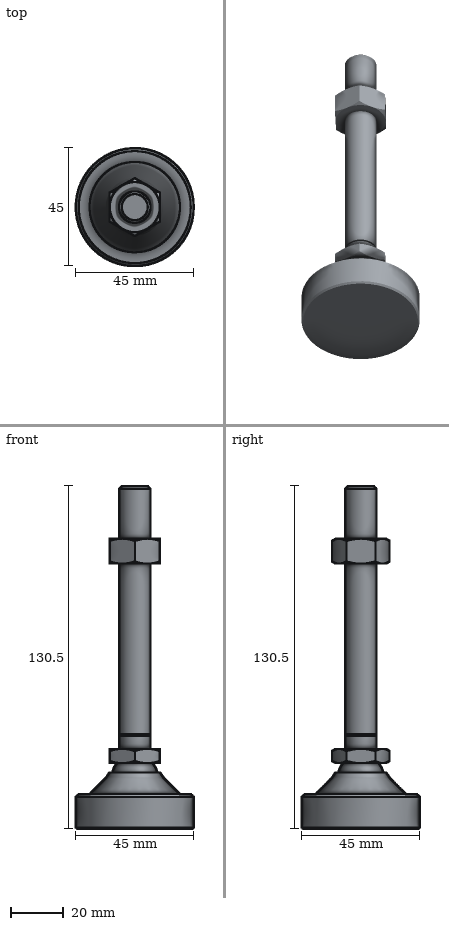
import cadquery as cq
import math

total_height = 130.5

pad_radius = 22.51
pad_height = 13.3
pad_top_chamfer = 1.2
pad_bottom_chamfer = 0.7

socket_base_radius = 17.2
socket_shoulder_radius = 11.0
socket_shoulder_z = 19.6
socket_top_z = 21.5
socket_lip_radius = 9.7

ball_radius = 8.9
ball_center_z = 19.5
rod_radius = 6.0
rod_top_chamfer = 1.0
hex_flats = 19.0
hex_bottom_z = 25.0
hex_height = 5.5
shank_chamfer = 0.8
rod_start_z = 36.1

nut_top_z = 110.5
nut_height = 9.5
hex_chamfer_angle = 30.0


def chamfered_hexagon(bottom_z, height):
    """Hexagonal prism with flats facing +X and -X and corners cut by a cone at both ends."""
    corner_radius = hex_flats / 2 / math.cos(math.radians(30))
    flat_radius = hex_flats / 2
    cone_radius = flat_radius + height / 2 / math.tan(math.radians(hex_chamfer_angle))
    prism = (
        cq.Workplane("XY", origin=(0, 0, bottom_z))
        .polygon(6, 2 * corner_radius)
        .extrude(height)
        .rotate((0, 0, 0), (0, 0, 1), 30)
    )
    envelope = (
        cq.Workplane("XZ", origin=(0, 0, bottom_z))
        .polyline([
            (0, 0),
            (flat_radius, 0),
            (cone_radius, height / 2),
            (flat_radius, height),
            (0, height),
        ])
        .close()
        .revolve(360, (0, 0), (0, 1))
    )
    return prism.intersect(envelope)


def make_ball():
    """Ball with its lower side cut flat where it rests on the pad."""
    ball = cq.Workplane("XY", origin=(0, 0, ball_center_z)).sphere(ball_radius)
    upper_space = (
        cq.Workplane("XY", origin=(0, 0, pad_height))
        .circle(pad_radius)
        .extrude(hex_bottom_z + hex_height / 2 - pad_height)
    )
    return ball.intersect(upper_space)


def make_pad():
    pad = cq.Workplane("XY").circle(pad_radius).extrude(pad_height)
    pad = pad.faces(">Z").chamfer(pad_top_chamfer)
    return pad.faces("<Z").chamfer(pad_bottom_chamfer)


def make_socket():
    """Cone with a steeper lip, hollowed to hold the ball."""
    body = (
        cq.Workplane("XZ")
        .moveTo(0, pad_height)
        .lineTo(socket_base_radius, pad_height)
        .lineTo(socket_shoulder_radius, socket_shoulder_z)
        .lineTo(socket_lip_radius, socket_top_z)
        .lineTo(0, socket_top_z)
        .close()
        .revolve(360, (0, 0), (0, 1))
    )
    return body.cut(make_ball())


def make_stud():
    """Ball, hexagon and rod in one piece, with a chamfered shank end below the rod."""
    rod = (
        cq.Workplane("XZ")
        .polyline([
            (0, hex_bottom_z),
            (rod_radius, hex_bottom_z),
            (rod_radius, rod_start_z - shank_chamfer),
            (rod_radius - shank_chamfer, rod_start_z),
            (rod_radius, rod_start_z),
            (rod_radius, total_height - rod_top_chamfer),
            (rod_radius - rod_top_chamfer, total_height),
            (0, total_height),
        ])
        .close()
        .revolve(360, (0, 0), (0, 1))
    )
    return make_ball().union(chamfered_hexagon(hex_bottom_z, hex_height)).union(rod)


def make_lock_nut():
    bottom_z = nut_top_z - nut_height
    bore = cq.Workplane("XY", origin=(0, 0, bottom_z)).circle(rod_radius).extrude(nut_height)
    return chamfered_hexagon(bottom_z, nut_height).cut(bore)


pad = make_pad()
socket = make_socket()
stud = make_stud()
lock_nut = make_lock_nut()

result = cq.Compound.makeCompound([pad.val(), socket.val(), stud.val(), lock_nut.val()])